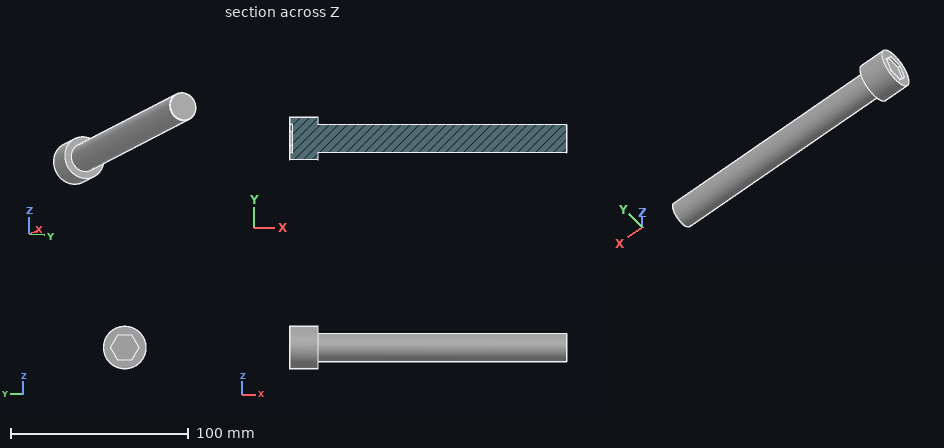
import cadquery as cq

total_length = 156.0
head_diameter = 24.0
shank_diameter = 16.0
head_height = shank_diameter
tip_chamfer = 0.3
socket_across_corners = 16.0
socket_depth = 1.5


def make_head():
    return cq.Workplane("YZ").circle(head_diameter / 2).extrude(head_height)


def make_shank():
    shank = cq.Workplane("YZ").circle(shank_diameter / 2).extrude(total_length)
    return shank.faces(">X").chamfer(tip_chamfer)


def make_socket():
    return cq.Workplane("YZ").polygon(6, socket_across_corners).extrude(socket_depth)


result = make_head().union(make_shank()).cut(make_socket())